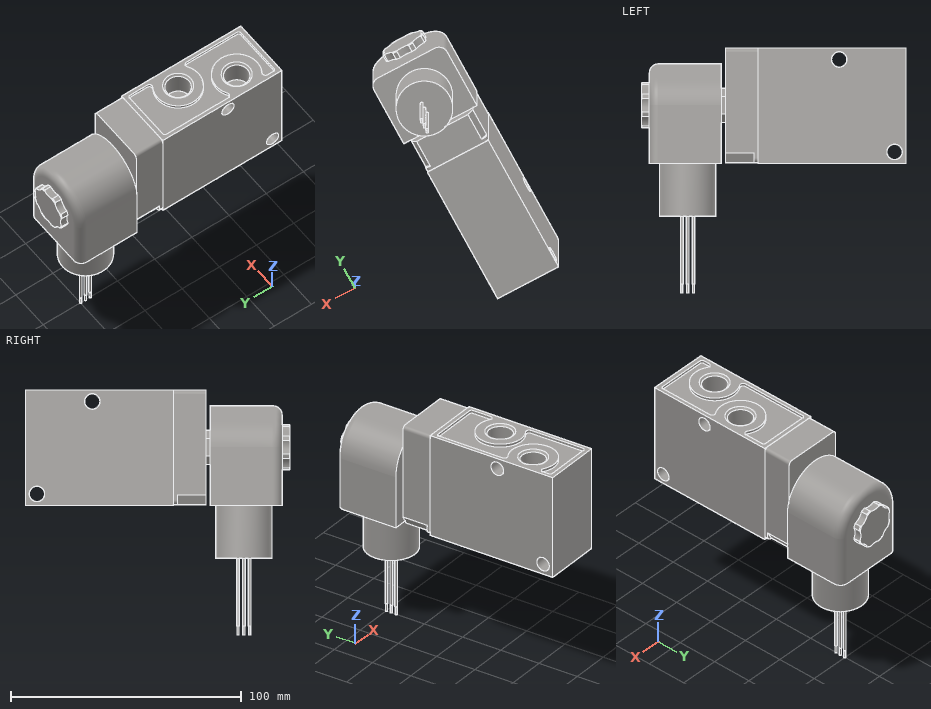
import cadquery as cq
import math


BLOCK_WIDTH = 30.0
BLOCK_LENGTH = 64.1
BLOCK_HEIGHT = 50.1

POCKET_DEPTH = 1.5
POCKET_SIDE_RIM = 1.8
POCKET_END_RIM = 2.2
POCKET_CORNER_RADIUS = 1.0
POCKET_TIP_RADIUS = 1.5

PORT_DIAMETER = 11.5
PORT_MOUTH_DIAMETER = 13.4
PORT_DEPTH = 11.5
PORT_BOSS_DIAMETER = 22.0
PORT_OFFSET = 5.0
NEAR_PORT_Y = 17.0
FAR_PORT_Y = 41.1
PORT_CENTERS = [(-PORT_OFFSET, NEAR_PORT_Y), (PORT_OFFSET, FAR_PORT_Y)]

MOUNT_HOLE_DIAMETER = 6.5
MOUNT_HOLE_INSET = 5.0
UPPER_MOUNT_HOLE_Y = 29.0
MOUNT_HOLE_CENTERS = [
    (MOUNT_HOLE_INSET, MOUNT_HOLE_INSET),
    (UPPER_MOUNT_HOLE_Y, BLOCK_HEIGHT - MOUNT_HOLE_INSET),
]

CAP_LENGTH = 14.2
CAP_END_Y = BLOCK_LENGTH + CAP_LENGTH
CAP_BASE_Z = 0.3
CAP_EDGE_RADIUS = 2.0
CAP_FLANGE_LENGTH = 1.7
CAP_BEVEL_WIDTH = 2.4
CAP_BEVEL_HEIGHT = 4.2

COIL_WIDTH = 36.0
COIL_RADIUS = COIL_WIDTH / 2
COIL_AXIS_Z = 25.2
COIL_START_Y = 80.1
COIL_END_Y = 111.3
COIL_EDGE_RADIUS = 4.0
NECK_ACROSS_FLATS = 13.0

NUT_END_Y = 114.7
NUT_RADIUS = 10.2
NUT_CHAMFER = 0.3
NUT_SCALLOP_COUNT = 8
NUT_SCALLOP_RADIUS = 5.7
NUT_SCALLOP_HALF_WIDTH = 2.9

GLAND_DIAMETER = 24.5
GLAND_LENGTH = 22.8
GLAND_Y = 94.6
WIRE_DIAMETER = 1.3
WIRE_CORE_DIAMETER = 1.0
WIRE_PITCH = 2.5
WIRE_COUNT = 3
WIRE_SHEATH_END_Z = -52.2
WIRE_CORE_END_Z = -56.1


def along_y(start_y):
    """Workplane at start_y on the solenoid axis; local x is X, local y is Z, extrusion runs toward -Y."""
    return cq.Workplane("XZ", origin=(0, start_y, COIL_AXIS_Z))


def make_pocket():
    """Shallow top recess that leaves a rim along the edges and a round boss at each port."""
    pocket_length = BLOCK_LENGTH - 2 * POCKET_END_RIM
    floor = cq.Workplane("XY", origin=(0, 0, BLOCK_HEIGHT - POCKET_DEPTH))
    recess = (
        floor.center(0, BLOCK_LENGTH / 2)
        .rect(BLOCK_WIDTH - 2 * POCKET_SIDE_RIM, pocket_length)
        .extrude(POCKET_DEPTH)
    )
    bosses = floor.pushPoints(PORT_CENTERS).circle(PORT_BOSS_DIAMETER / 2).extrude(POCKET_DEPTH)
    pocket = recess.cut(bosses)
    pocket = pocket.edges("|Z and (not (>Y or <Y))").fillet(POCKET_TIP_RADIUS)
    return pocket.edges("|Z and (>Y or <Y)").fillet(POCKET_CORNER_RADIUS)


def make_port(x, y):
    """Blind port bore with a 45 degree conical mouth."""
    bore_radius = PORT_DIAMETER / 2
    mouth_radius = PORT_MOUTH_DIAMETER / 2
    mouth_depth = mouth_radius - bore_radius
    return (
        cq.Workplane("XZ")
        .lineTo(mouth_radius, 0)
        .lineTo(bore_radius, -mouth_depth)
        .lineTo(bore_radius, -PORT_DEPTH)
        .lineTo(0, -PORT_DEPTH)
        .close()
        .revolve(360, (0, 0), (0, 1))
        .translate((x, y, BLOCK_HEIGHT))
    )


def make_valve_block():
    block = cq.Workplane("XY").box(
        BLOCK_WIDTH, BLOCK_LENGTH, BLOCK_HEIGHT, centered=(True, False, False)
    )
    block = block.cut(make_pocket())
    for x, y in PORT_CENTERS:
        block = block.cut(make_port(x, y))
    mount_holes = (
        cq.Workplane("YZ")
        .pushPoints(MOUNT_HOLE_CENTERS)
        .circle(MOUNT_HOLE_DIAMETER / 2)
        .extrude(BLOCK_WIDTH / 2, both=True)
    )
    return block.cut(mount_holes)


def make_cap_bevel(side):
    """Wedge that bevels one lower long edge of the cap; side is -1 or +1 along X."""
    outer_x = side * BLOCK_WIDTH / 2
    return (
        cq.Workplane("XZ", origin=(0, BLOCK_LENGTH + CAP_FLANGE_LENGTH, CAP_BASE_Z))
        .moveTo(outer_x, 0)
        .lineTo(outer_x, CAP_BEVEL_HEIGHT)
        .lineTo(outer_x - side * CAP_BEVEL_WIDTH, 0)
        .close()
        .extrude(CAP_FLANGE_LENGTH - CAP_LENGTH)
    )


def make_pilot_cap():
    """Rounded cap on the block; its lower edges are bevelled up to a thin flange at the block."""
    cap = (
        cq.Workplane("XY", origin=(0, BLOCK_LENGTH, CAP_BASE_Z))
        .box(BLOCK_WIDTH, CAP_LENGTH, BLOCK_HEIGHT - CAP_BASE_Z, centered=(True, False, False))
        .edges("|Y")
        .fillet(CAP_EDGE_RADIUS)
    )
    for side in (-1, 1):
        cap = cap.cut(make_cap_bevel(side))
    return cap


def make_coil():
    """Arch-shaped coil housing with its far rim rounded over the dome and both sides."""
    coil = (
        along_y(COIL_START_Y)
        .moveTo(-COIL_RADIUS, -COIL_AXIS_Z)
        .lineTo(-COIL_RADIUS, 0)
        .threePointArc((0, COIL_RADIUS), (COIL_RADIUS, 0))
        .lineTo(COIL_RADIUS, -COIL_AXIS_Z)
        .close()
        .extrude(COIL_START_Y - COIL_END_Y)
    )
    return coil.faces(">Y").edges("not <Z").fillet(COIL_EDGE_RADIUS)


def make_neck():
    """Hexagonal neck between cap and coil, with corners at top and bottom."""
    across_corners = NECK_ACROSS_FLATS / math.cos(math.pi / 6)
    return (
        along_y(CAP_END_Y)
        .transformed(rotate=(0, 0, 90))
        .polygon(6, across_corners)
        .extrude(CAP_END_Y - COIL_START_Y)
    )


def make_nut():
    """Round retaining nut with evenly spaced finger scallops."""
    thickness = NUT_END_Y - COIL_END_Y
    nut = along_y(COIL_END_Y).circle(NUT_RADIUS).extrude(-thickness).faces(">Y").chamfer(NUT_CHAMFER)
    scallop_orbit = math.sqrt(NUT_RADIUS**2 - NUT_SCALLOP_HALF_WIDTH**2) + math.sqrt(
        NUT_SCALLOP_RADIUS**2 - NUT_SCALLOP_HALF_WIDTH**2
    )
    scallops = (
        along_y(COIL_END_Y)
        .polarArray(scallop_orbit, 0, 360, NUT_SCALLOP_COUNT)
        .circle(NUT_SCALLOP_RADIUS)
        .extrude(-thickness)
    )
    return nut.cut(scallops)


def make_wire(y):
    """One lead: insulated length with a bare core at its end."""
    sheath = cq.Workplane("XY", origin=(0, y, -GLAND_LENGTH))
    sheath = sheath.circle(WIRE_DIAMETER / 2).extrude(WIRE_SHEATH_END_Z + GLAND_LENGTH)
    core = cq.Workplane("XY", origin=(0, y, WIRE_SHEATH_END_Z))
    core = core.circle(WIRE_CORE_DIAMETER / 2).extrude(WIRE_CORE_END_Z - WIRE_SHEATH_END_Z)
    return sheath.union(core)


def make_solenoid():
    gland = cq.Workplane("XY", origin=(0, GLAND_Y, 0)).circle(GLAND_DIAMETER / 2).extrude(-GLAND_LENGTH)
    solenoid = make_coil().union(make_neck()).union(make_nut()).union(gland)
    first_wire_y = GLAND_Y - WIRE_PITCH * (WIRE_COUNT - 1) / 2
    for index in range(WIRE_COUNT):
        solenoid = solenoid.union(make_wire(first_wire_y + index * WIRE_PITCH))
    return solenoid


valve_block = make_valve_block()
pilot_cap = make_pilot_cap()
solenoid = make_solenoid()

result = cq.Compound.makeCompound([valve_block.val(), pilot_cap.val(), solenoid.val()])